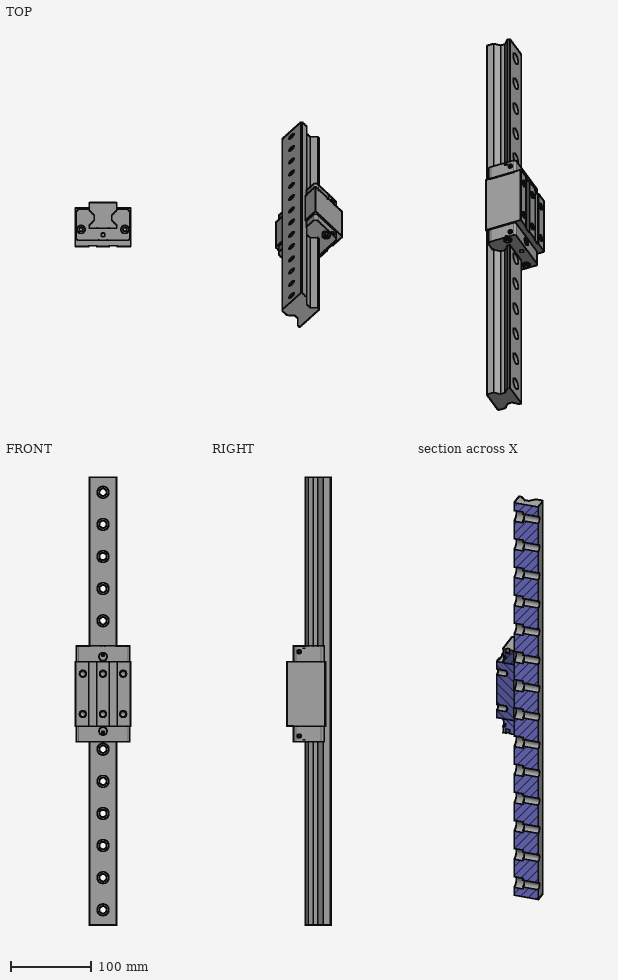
import cadquery as cq
import math

OVERALL_DEPTH = 55.0

RAIL_LENGTH = 558.0
RAIL_WIDTH = 34.5
RAIL_BASE_Y = OVERALL_DEPTH / 2
RAIL_HEAD_Y = -4.5
RAIL_BASE_CHAMFER = 1.0
RAIL_HEAD_CHAMFER = 0.5
GROOVE_BASE_Y = 18.0
GROOVE_HEAD_Y = -1.0
GROOVE_DEPTH = 6.5
BOLT_COUNT = 14
BOLT_SPAN = 520.0
BOLT_PITCH = BOLT_SPAN / (BOLT_COUNT - 1)
BOLT_HOLE_DIAMETER = 9.0
BOLT_HEAD_DIAMETER = 14.5
BOLT_HEAD_DEPTH = 11.5

CARRIAGE_Z = 9.0
BLOCK_WIDTH = 70.0
BLOCK_LENGTH = 80.5
BLOCK_BACK_Y = 20.5
BLOCK_FRONT_Y = -OVERALL_DEPTH / 2
BLOCK_CHAMFER = 0.85

FACE_GROOVE_X = 13.0
FACE_GROOVE_WIDTH = 10.0
FACE_GROOVE_DEPTH = 1.0
SCREW_PITCH_X = 25.0
SCREW_PITCH_Z = 50.0
SCREW_DIAMETER = 7.0
SCREW_CHAMFER = 0.5
SCREW_DEPTH = 12.0
DRILL_TIP_ANGLE = 118

CAP_WIDTH = 67.0
CAP_LENGTH = 19.5
CAP_BACK_Y = 19.0
CAP_FRONT_Y = -19.5
CAP_BACK_RADIUS = 4.5
CAP_FRONT_RADIUS = 3.0

CAP_SCREW_X = 27.5
CAP_SCREW_Y = -6.0
CAP_SCREW_STEPS = [(10.0, 3.0), (4.9, 5.5)]
GREASE_STEPS = [(4.9, 5.5)]
GREASE_Y = -13.0
SIDE_PORT_STEPS = [(4.9, 1.0), (3.25, 5.5)]
SIDE_PORT_Y = -12.0
SIDE_PORT_INSET = 7.0
SEAL_STEPS = [(10.0, 1.0)]
SEAL_INSET = 13.5
FEED_STEPS = [(2.85, 3.5)]
FEED_INSET = 11.5


def rail_bar():
    """Solid rail profile, centred on Z, with a trapezoidal groove along each flank."""
    side = RAIL_WIDTH / 2
    floor = side - GROOVE_DEPTH
    right_flank = [
        (side, RAIL_BASE_Y),
        (side, GROOVE_BASE_Y),
        (floor, GROOVE_BASE_Y - GROOVE_DEPTH),
        (floor, GROOVE_HEAD_Y + GROOVE_DEPTH),
        (side, GROOVE_HEAD_Y),
        (side, RAIL_HEAD_Y),
    ]
    left_flank = [(-x, y) for x, y in reversed(right_flank)]
    bar = cq.Workplane("XY").polyline(right_flank + left_flank).close().extrude(RAIL_LENGTH)
    bar = bar.translate((0, 0, -RAIL_LENGTH / 2))
    bar = bar.edges("|Z and >Y").chamfer(RAIL_BASE_CHAMFER)
    return bar.edges("|Z and <Y").chamfer(RAIL_HEAD_CHAMFER)


def make_rail():
    holes = cq.Workplane("XZ", origin=(0, RAIL_HEAD_Y, 0)).rarray(5.5, BOLT_PITCH, 1, BOLT_COUNT)
    shanks = holes.circle(BOLT_HOLE_DIAMETER / 2).extrude(RAIL_HEAD_Y - RAIL_BASE_Y)
    heads = holes.circle(BOLT_HEAD_DIAMETER / 2).extrude(-BOLT_HEAD_DEPTH)
    return rail_bar().cut(shanks).cut(heads)


def screw_holes():
    """Six blind threaded holes with a chamfered mouth and a drill-tip bottom."""
    radius = SCREW_DIAMETER / 2
    tip_depth = radius / math.tan(math.radians(DRILL_TIP_ANGLE / 2))
    drill = (
        cq.Workplane("XY")
        .polyline([
            (0, 0),
            (radius + SCREW_CHAMFER, 0),
            (radius, SCREW_CHAMFER),
            (radius, SCREW_DEPTH),
            (0, SCREW_DEPTH + tip_depth),
        ])
        .close()
        .revolve(360, (0, 0, 0), (0, 1, 0))
    )
    holes = cq.Workplane("XY")
    for x in (-SCREW_PITCH_X, 0, SCREW_PITCH_X):
        for z in (-SCREW_PITCH_Z / 2, SCREW_PITCH_Z / 2):
            holes = holes.add(drill.translate((x, BLOCK_FRONT_Y, CARRIAGE_Z + z)))
    return holes.combine()


def make_block():
    """Carriage block that fits around the rail, with two shallow grooves along its mounting face."""
    depth = BLOCK_BACK_Y - BLOCK_FRONT_Y
    middle_y = (BLOCK_BACK_Y + BLOCK_FRONT_Y) / 2
    block = (
        cq.Workplane("XY", origin=(0, middle_y, CARRIAGE_Z))
        .box(BLOCK_WIDTH, depth, BLOCK_LENGTH)
        .edges("|Z")
        .chamfer(BLOCK_CHAMFER)
    )
    grooves = (
        cq.Workplane("XZ", origin=(0, BLOCK_FRONT_Y, CARRIAGE_Z))
        .pushPoints([(-FACE_GROOVE_X, 0), (FACE_GROOVE_X, 0)])
        .rect(FACE_GROOVE_WIDTH, BLOCK_LENGTH)
        .extrude(-FACE_GROOVE_DEPTH)
    )
    return block.cut(grooves).cut(screw_holes()).cut(rail_bar())


def cut_stepped_hole(body, mouth, inward, steps):
    """Cut coaxial round steps into the body from the mouth point along the inward direction."""
    plane = cq.Plane(origin=mouth, normal=inward)
    for diameter, depth in steps:
        body = body.cut(cq.Workplane(plane).circle(diameter / 2).extrude(depth))
    return body


def make_cap(end):
    """End cap on the block's upper (end = 1) or lower (end = -1) face."""
    inner_z = BLOCK_LENGTH / 2
    outer_z = inner_z + CAP_LENGTH
    depth = CAP_BACK_Y - CAP_FRONT_Y
    middle_y = (CAP_BACK_Y + CAP_FRONT_Y) / 2
    cap = (
        cq.Workplane("XY", origin=(0, middle_y, inner_z))
        .rect(CAP_WIDTH, depth)
        .extrude(CAP_LENGTH)
        .edges("|Z and >Y")
        .fillet(CAP_BACK_RADIUS)
        .edges("|Z and <Y")
        .fillet(CAP_FRONT_RADIUS)
    )

    for side in (-1, 1):
        cap = cut_stepped_hole(cap, (side * CAP_SCREW_X, CAP_SCREW_Y, outer_z), (0, 0, -1), CAP_SCREW_STEPS)
        side_mouth = (side * CAP_WIDTH / 2, SIDE_PORT_Y, outer_z - SIDE_PORT_INSET)
        cap = cut_stepped_hole(cap, side_mouth, (-side, 0, 0), SIDE_PORT_STEPS)

    cap = cut_stepped_hole(cap, (0, GREASE_Y, outer_z), (0, 0, -1), GREASE_STEPS)
    cap = cut_stepped_hole(cap, (0, CAP_FRONT_Y, outer_z - SEAL_INSET), (0, 1, 0), SEAL_STEPS)
    cap = cut_stepped_hole(cap, (0, CAP_FRONT_Y, outer_z - FEED_INSET), (0, 1, 0), FEED_STEPS)

    if end < 0:
        cap = cap.mirror("XY")
    return cap.translate((0, 0, CARRIAGE_Z)).cut(rail_bar())


rail = make_rail()
block = make_block()
caps = [make_cap(end) for end in (1, -1)]

result = cq.Compound.makeCompound([rail.val(), block.val(), *[cap.val() for cap in caps]])